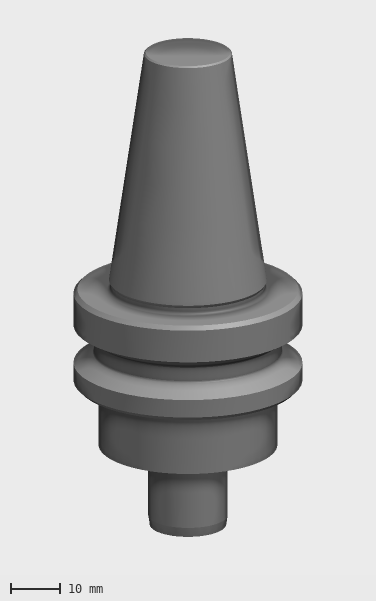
import cadquery as cq
import math

total_height = 100.4
flange_top = 50.0
flange_bottom = 29.9
nose_bottom = 17.0

gauge_diameter = 31.7
taper_ratio = 7 / 24
taper_bottom = 52.0
taper_tip_chamfer = 0.3

relief_diameter = 31.1
relief_top = 51.4
relief_fillet = 0.7

flange_diameter = 46.0
flange_chamfer = 0.8
groove_diameter = 37.8
groove_centre = 38.5
groove_mouth_width = 8.0
groove_wall_angle = 30.0
groove_fillet = 0.4

nose_diameter = 35.9
nose_fillet = 0.9
pin_diameter = 16.0
pin_lead_in_height = 2.0
pin_lead_in_depth = 0.3

gauge_radius = gauge_diameter / 2
relief_radius = relief_diameter / 2
flange_radius = flange_diameter / 2
groove_radius = groove_diameter / 2
nose_radius = nose_diameter / 2
pin_radius = pin_diameter / 2
tip_radius = gauge_radius - (total_height - taper_bottom) * taper_ratio / 2


def ring(half_profile):
    """Revolve a closed (radius, height) outline about the Z axis."""
    return half_profile.close().revolve(360, (0, 0, 0), (0, 1, 0))


def make_pin():
    pin = cq.Workplane("XY").circle(pin_radius).extrude(nose_bottom)
    return pin.faces("<Z").chamfer(pin_lead_in_height, pin_lead_in_depth)


def make_nose():
    """Nose cylinder that flares into the underside of the flange."""
    return ring(
        cq.Workplane("XZ")
        .moveTo(0, nose_bottom)
        .lineTo(nose_radius, nose_bottom)
        .lineTo(nose_radius, flange_bottom - nose_fillet)
        .radiusArc((nose_radius + nose_fillet, flange_bottom), nose_fillet)
        .lineTo(0, flange_bottom)
    )


def make_groove_cutter():
    """Ring that cuts the groove, with rounded corners at its floor."""
    depth = flange_radius - groove_radius
    mouth_half = groove_mouth_width / 2
    floor_half = mouth_half - depth * math.tan(math.radians(groove_wall_angle))
    cutter = ring(
        cq.Workplane("XZ")
        .moveTo(flange_radius, groove_centre - mouth_half)
        .lineTo(groove_radius, groove_centre - floor_half)
        .lineTo(groove_radius, groove_centre + floor_half)
        .lineTo(flange_radius, groove_centre + mouth_half)
    )
    floor_edges = cutter.edges(cq.selectors.RadiusNthSelector(0))
    return floor_edges.fillet(groove_fillet)


def make_flange():
    flange = (
        cq.Workplane("XY", origin=(0, 0, flange_bottom))
        .circle(flange_radius)
        .extrude(flange_top - flange_bottom)
        .edges("%CIRCLE")
        .chamfer(flange_chamfer)
    )
    return flange.cut(make_groove_cutter())


def make_taper():
    """Taper standing on a relieved neck that is filleted into the flange."""
    return ring(
        cq.Workplane("XZ")
        .moveTo(0, flange_top)
        .lineTo(relief_radius + relief_fillet, flange_top)
        .radiusArc((relief_radius, flange_top + relief_fillet), relief_fillet)
        .lineTo(relief_radius, relief_top)
        .lineTo(gauge_radius, taper_bottom)
        .lineTo(tip_radius + taper_tip_chamfer * taper_ratio / 2, total_height - taper_tip_chamfer)
        .lineTo(tip_radius - taper_tip_chamfer, total_height)
        .lineTo(0, total_height)
    )


result = make_flange().union(make_taper()).union(make_nose()).union(make_pin())